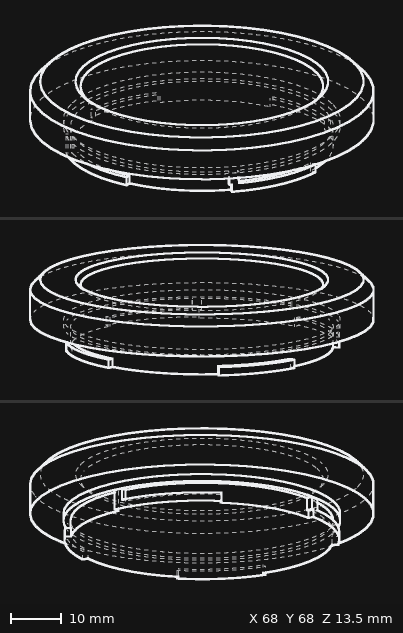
import cadquery as cq
import math

stop_bottom = 1.5
lug_top = 1.7
boss_top = 4.0
collar_top = 5.4
total_height = 13.5

cap_radius = 68.0 / 2
cap_chamfer = 2.0
collar_radius = 54.8 / 2
boss_radius = 52.0 / 2
recess_floor_radius = 48.0 / 2
recess_depth = 1.0
recess_flare = 1.0

lug_radius = 27.2
lug_spans = [(45.0, 83.0), (132.8, 168.0), (213.3, 260.8), (306.9, 350.0)]

stop_spans = [(213.3, 217.2), (305.8, 309.9)]

root_radius = boss_radius - 1.0


def make_body():
    """Stepped disc: boss, collar and chamfered cap, with a flared recess on top."""
    recess_floor = total_height - recess_depth
    profile = (
        cq.Workplane("XZ")
        .moveTo(0, 0)
        .lineTo(boss_radius, 0)
        .lineTo(boss_radius, boss_top)
        .lineTo(collar_radius, boss_top)
        .lineTo(collar_radius, collar_top)
        .lineTo(cap_radius, collar_top)
        .lineTo(cap_radius, total_height - cap_chamfer)
        .lineTo(cap_radius - cap_chamfer, total_height)
        .lineTo(recess_floor_radius + recess_flare, total_height)
        .lineTo(recess_floor_radius, recess_floor)
        .lineTo(0, recess_floor)
        .close()
    )
    return profile.revolve(360, (0, 0, 0), (0, 1, 0))


def polar(radius, angle):
    """Point at the given radius and angle in degrees."""
    return (radius * math.cos(math.radians(angle)), radius * math.sin(math.radians(angle)))


def ring_sector(span, bottom, top):
    """Ring sector from the boss root to the lug radius, with radial end faces."""
    start, end = span
    middle = (start + end) / 2
    return (
        cq.Workplane("XY", origin=(0, 0, bottom))
        .moveTo(*polar(root_radius, start))
        .lineTo(*polar(lug_radius, start))
        .threePointArc(polar(lug_radius, middle), polar(lug_radius, end))
        .lineTo(*polar(root_radius, end))
        .threePointArc(polar(root_radius, middle), polar(root_radius, start))
        .close()
        .extrude(top - bottom)
    )


result = make_body()
for lug_span in lug_spans:
    result = result.union(ring_sector(lug_span, 0, lug_top))
for stop_span in stop_spans:
    result = result.union(ring_sector(stop_span, stop_bottom, boss_top))